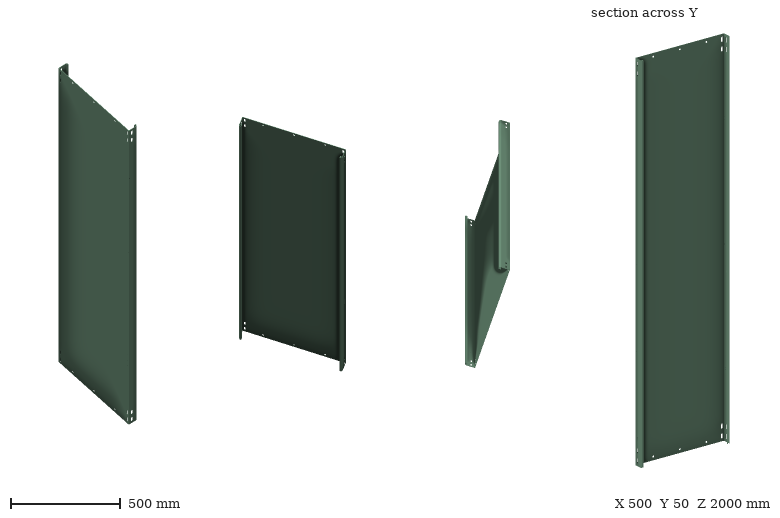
import cadquery as cq
import math

height = 2000.0
width = 500.0
depth = 50.0
thickness = 2.0

lip_width = 12.0
lip_depth = 10.0
lip_return = 5.0
bend_radius = 9.0

hole_diameter = 10.0
hole_pitch = 150.0
hole_edge_distance = 18.0

slot_length = 25.0
slot_width = 8.0
slot_edge_distances = (25.0, 75.0)
face_slot_side_distance = 13.0
flange_slot_front_distance = 18.0

left = -width / 2
front = -depth / 2
rear = depth / 2
half_height = height / 2


def left_flange():
    """Side wall with a rounded rear bend, folded inward, forward and back toward the wall."""
    lip_right = left + lip_width
    lip_front = rear - lip_depth
    return_end = lip_right - lip_return
    bend_x = left + bend_radius
    bend_y = rear - bend_radius
    inner_radius = bend_radius - thickness
    diagonal_share = math.sqrt(0.5)
    profile = (
        cq.Workplane("XY", origin=(0, 0, -half_height))
        .moveTo(left, front)
        .lineTo(left, bend_y)
        .threePointArc(
            (bend_x - bend_radius * diagonal_share, bend_y + bend_radius * diagonal_share),
            (bend_x, rear),
        )
        .lineTo(lip_right, rear)
        .lineTo(lip_right, lip_front)
        .lineTo(return_end, lip_front)
        .lineTo(return_end, lip_front + thickness)
        .lineTo(lip_right - thickness, lip_front + thickness)
        .lineTo(lip_right - thickness, rear - thickness)
        .lineTo(bend_x, rear - thickness)
        .threePointArc(
            (bend_x - inner_radius * diagonal_share, bend_y + inner_radius * diagonal_share),
            (left + thickness, bend_y),
        )
        .lineTo(left + thickness, front)
        .close()
    )
    return profile.extrude(height)


def face_holes():
    """Row of three round holes near the top and bottom edges of the face."""
    row_height = half_height - hole_edge_distance
    points = [(column * hole_pitch, end * row_height) for column in (-1, 0, 1) for end in (-1, 1)]
    holes = cq.Workplane("XZ", origin=(0, front, 0)).pushPoints(points)
    return holes.circle(hole_diameter / 2).extrude(-thickness)


def face_slots(slot_heights):
    """Pairs of slots at the four corners of the face."""
    slot_x = width / 2 - face_slot_side_distance
    points = [(side * slot_x, z) for side in (-1, 1) for z in slot_heights]
    slots = cq.Workplane("XZ", origin=(0, front, 0)).pushPoints(points)
    return slots.slot2D(slot_length, slot_width, 90).extrude(-thickness)


def flange_slots(slot_heights):
    """Pairs of slots passing through both side flanges."""
    points = [(front + flange_slot_front_distance, z) for z in slot_heights]
    slots = cq.Workplane("YZ", origin=(left, 0, 0)).pushPoints(points)
    return slots.slot2D(slot_length, slot_width, 90).extrude(width)


face = cq.Workplane("XY").box(width, thickness, height).translate((0, front + thickness / 2, 0))
flange = left_flange()
heights = [end * (half_height - distance) for end in (-1, 1) for distance in slot_edge_distances]

result = (
    face.union(flange)
    .union(flange.mirror("YZ"))
    .cut(face_holes())
    .cut(face_slots(heights))
    .cut(flange_slots(heights))
)